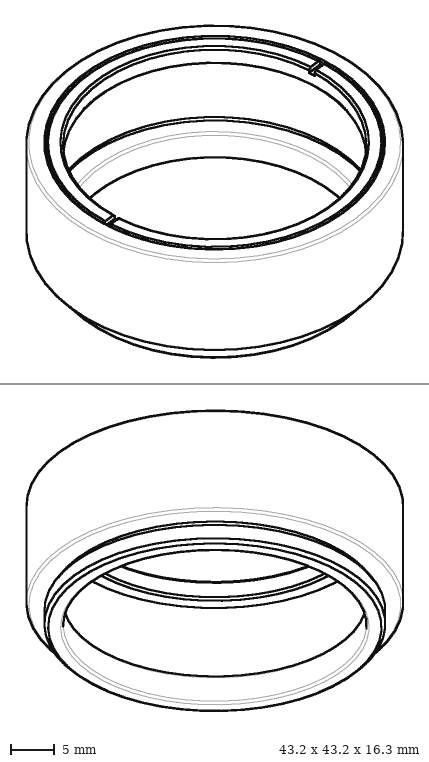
import cadquery as cq

outer_radius = 21.6
total_height = 16.3
rim_fillet = 0.3

spigot_radius = 19.53
spigot_chamfer = 0.45
spigot_top = 2.2
neck_radius = 18.95
body_bottom = 3.0

lip_radius = 17.35
lip_top = 3.7
bore_radius = 19.3
relief_radius = 19.7
relief_top = 4.55
mouth_chamfer = 0.2

ring_inner_radius = 17.35
ring_chamfer = 0.3
ring_height = 2.5
ring_bottom = total_height - ring_height

slot_width = 0.8
slot_depth = 0.7
slot_angle = 112.6


def revolve_about_z(profile):
    """Revolve a closed (radius, height) outline about the Z axis."""
    return profile.revolve(360, (0, 0), (0, 1))


def make_housing():
    """Stepped sleeve with an inner lip, a relief groove and rounded rims."""
    profile = (
        cq.Workplane("XZ")
        .moveTo(lip_radius, rim_fillet)
        .radiusArc((lip_radius + rim_fillet, 0), -rim_fillet)
        .lineTo(spigot_radius - spigot_chamfer, 0)
        .lineTo(spigot_radius, spigot_chamfer)
        .lineTo(spigot_radius, spigot_top)
        .lineTo(neck_radius, spigot_top)
        .lineTo(neck_radius, body_bottom)
        .lineTo(outer_radius - rim_fillet, body_bottom)
        .radiusArc((outer_radius, body_bottom + rim_fillet), -rim_fillet)
        .lineTo(outer_radius, total_height - rim_fillet)
        .radiusArc((outer_radius - rim_fillet, total_height), -rim_fillet)
        .lineTo(bore_radius + mouth_chamfer, total_height)
        .lineTo(bore_radius, total_height - mouth_chamfer)
        .lineTo(bore_radius, relief_top)
        .lineTo(relief_radius, relief_top)
        .lineTo(relief_radius, lip_top)
        .lineTo(lip_radius + rim_fillet, lip_top)
        .radiusArc((lip_radius, lip_top - rim_fillet), -rim_fillet)
        .close()
    )
    return revolve_about_z(profile)


def make_retaining_ring():
    """Ring that fills the bore, with chamfered rims and two opposed slots."""
    profile = cq.Workplane("XZ").polyline([
        (ring_inner_radius, ring_bottom + ring_chamfer),
        (ring_inner_radius + ring_chamfer, ring_bottom),
        (bore_radius, ring_bottom),
        (bore_radius, total_height - mouth_chamfer),
        (bore_radius - mouth_chamfer, total_height),
        (ring_inner_radius + ring_chamfer, total_height),
        (ring_inner_radius, total_height - ring_chamfer),
    ]).close()
    ring = revolve_about_z(profile)

    slot_bar = (
        cq.Workplane("XY", origin=(0, 0, total_height - slot_depth))
        .rect(2 * outer_radius, slot_width)
        .extrude(slot_depth)
        .rotate((0, 0, 0), (0, 0, 1), slot_angle)
    )
    return ring.cut(slot_bar)


housing = make_housing()
retaining_ring = make_retaining_ring()

result = cq.Compound.makeCompound([housing.val(), retaining_ring.val()])